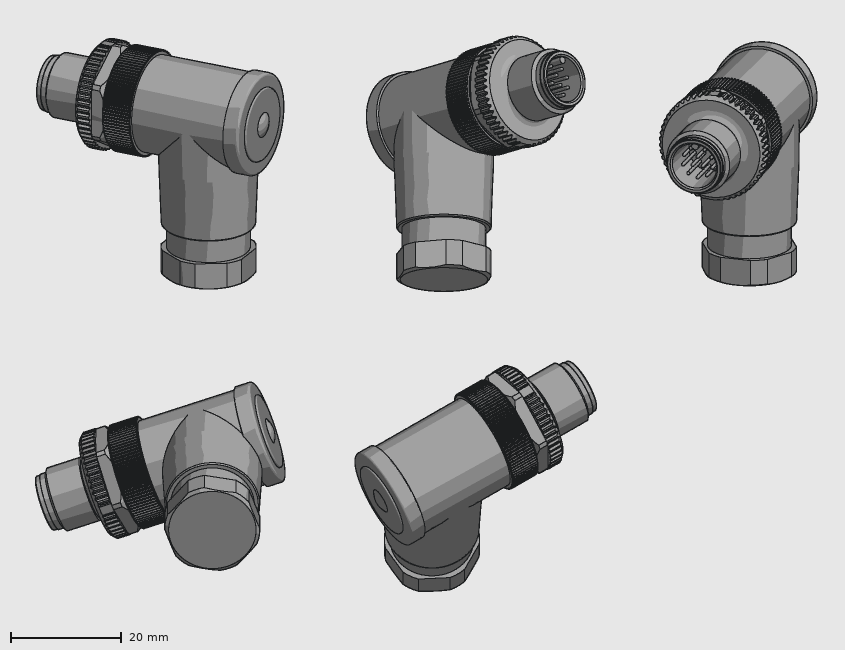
import cadquery as cq
import math


tip_radius = 10.3 / 2
tip_end = 0.95
tip_chamfer = 0.15
collar_radius = 10.6 / 2
collar_end = 2.0
thread_radius = 12 / 2
thread_start = 2.45
thread_end = 8.75
relief_radius = 5.6

socket_rim_radius = 4.5
socket_mouth_radius = 4.2
socket_chamfer_depth = 0.3
socket_floor_radius = 3.9
socket_floor = 9.0
pin_radius = 0.6 / 2
pin_tip = 2.0
pin_tip_round = 0.2
pin_embed = 0.5
outer_circle_radius = 2.85
outer_pin_count = 9
outer_pin_pitch = 38.2
inner_circle_radius = 1.12
inner_pin_count = 3
key_radius = 0.65
key_centre_height = 3.65
key_start = 0.6

root_share = 0.2
mouth_share = 0.72

ring_face = 10.0
ring_face_radius = 9.27
ring_fillet = 2.0
ring_recess_radius = 7.4
ring_knurl_end = 13.05
ring_tooth_count = 52
ring_crest_radius = 10.09
ring_groove_depth = 0.42
ring_fade_angle = 20.0
hex_corner_radius = 10.0
hex_across_flats = 17.77
hex_chamfer_start = 14.7
hex_end = 15.4
hex_end_radius = 9.35
hex_pad_radius = 18 / 2
hex_pad_height = 4.0

grip_start = 15.6
grip_end = 21.0
grip_rim_end = 21.2
grip_tooth_count = 100
grip_crest_radius = 9.85
grip_root_radius = 9.6

housing_radius = 18 / 2
neck_radius = 9.2
cap_start = 39.85
cap_end = 42.9
cap_radius = 19 / 2
cap_fillet = 0.5
disc_radius = 6.9
disc_end = 43.3
disc_fillet = 0.25
dome_radius = 2.3
overall_length = 44.0

outlet_x = 32.22
outlet_radius = housing_radius
taper_top = -9.6
taper_bottom = -21.15
taper_bottom_radius = 8.56
taper_chamfer = 0.25
waist_radius = 15.2 / 2
nut_top = -25.9
waist_embed = 1.0
nut_bottom = -31.0
nut_corner_radius = 8.6
nut_across_flats = 16.2
nut_chamfer_height = 0.4
nut_chamfer_width = 0.7

hex_inradius_ratio = math.cos(math.radians(30))


def polar(radius, degrees):
    """Point at the given radius and angle, as a pair."""
    angle = math.radians(degrees)
    return radius * math.cos(angle), radius * math.sin(angle)


def turned(outline):
    """Revolve a closed (x, radius) sketch about the plug axis."""
    return outline.close().revolve(360, (0, 0, 0), (1, 0, 0))


def rod(start, end, radius):
    """Cylinder along the plug axis."""
    return cq.Workplane("YZ", origin=(start, 0, 0)).circle(radius).extrude(end - start)


def knurled_bar(start, end, count, crest_radius, groove_depth):
    """Toothed bar along X; groove_depth(angle) is the depth of the groove at that angle."""
    pitch = 360 / count
    half_root = root_share * pitch / 2
    half_mouth = mouth_share * pitch / 2
    points = []
    for index in range(count):
        angle = index * pitch
        root_radius = crest_radius - groove_depth(angle)
        points.append(polar(crest_radius, angle - half_mouth))
        points.append(polar(root_radius, angle - half_root))
        points.append(polar(root_radius, angle + half_root))
        points.append(polar(crest_radius, angle + half_mouth))
    return cq.Workplane("YZ", origin=(start, 0, 0)).polyline(points).close().extrude(end - start)


def make_sleeve():
    """Stepped mating sleeve with the blend into the coupling ring."""
    fillet_centre_x = ring_face - ring_fillet
    fillet_rise = ring_recess_radius - relief_radius
    fillet_start = fillet_centre_x + math.sqrt(ring_fillet**2 - fillet_rise**2)
    arc_middle_angle = 0.5 * math.asin(fillet_rise / ring_fillet)
    arc_middle = (
        fillet_centre_x + ring_fillet * math.cos(arc_middle_angle),
        ring_recess_radius - ring_fillet * math.sin(arc_middle_angle),
    )
    return turned(
        cq.Workplane("XY")
        .moveTo(0, 0)
        .lineTo(0, tip_radius - tip_chamfer)
        .lineTo(tip_chamfer, tip_radius)
        .lineTo(tip_end, tip_radius)
        .lineTo(tip_end, collar_radius)
        .lineTo(collar_end, collar_radius)
        .lineTo(thread_start, thread_radius)
        .lineTo(thread_end, thread_radius)
        .lineTo(fillet_start, relief_radius)
        .threePointArc(arc_middle, (ring_face, ring_recess_radius))
        .lineTo(ring_knurl_end, ring_recess_radius)
        .lineTo(ring_knurl_end, 0)
    )


def make_coupling_knurl():
    """Front knurl; its grooves fade out towards smooth strips at +Z and -Z."""

    def groove_depth(angle):
        from_strip = abs(math.cos(math.radians(angle)))
        full_from = math.sin(math.radians(ring_fade_angle))
        return ring_groove_depth * min(1, from_strip / full_from)

    bar = knurled_bar(ring_face, ring_knurl_end, ring_tooth_count, ring_crest_radius, groove_depth)
    bevel_end = ring_face + ring_crest_radius - ring_face_radius
    envelope = turned(
        cq.Workplane("XY")
        .moveTo(ring_face, 0)
        .lineTo(ring_face, ring_face_radius)
        .lineTo(bevel_end, ring_crest_radius)
        .lineTo(ring_knurl_end, ring_crest_radius)
        .lineTo(ring_knurl_end, 0)
    )
    height_limit = cq.Workplane("XY").box(
        2 * ring_knurl_end, 3 * ring_crest_radius, 2 * hex_corner_radius
    )
    return bar.intersect(envelope).intersect(height_limit)


def make_coupling_hex():
    """Wrench hexagon with rounded corners at +Z and -Z and a round pad on the +-Y flats."""
    length = hex_end - ring_knurl_end
    across_corners = hex_across_flats / hex_inradius_ratio
    hexagon = (
        cq.Workplane("YZ", origin=(ring_knurl_end, 0, 0))
        .transformed(rotate=(0, 0, 90))
        .polygon(6, across_corners)
        .extrude(length)
    )
    envelope = turned(
        cq.Workplane("XY")
        .moveTo(ring_knurl_end, 0)
        .lineTo(ring_knurl_end, hex_corner_radius)
        .lineTo(hex_chamfer_start, hex_corner_radius)
        .lineTo(hex_end, hex_end_radius)
        .lineTo(hex_end, 0)
    )
    pad_band = cq.Workplane("XY").box(2 * hex_end, 2 * cap_radius, hex_pad_height)
    pads = rod(ring_knurl_end, hex_end, hex_pad_radius).intersect(pad_band)
    return hexagon.intersect(envelope).union(pads)


def make_grip():
    """Finely knurled rear nut with a plain rim at its back edge."""
    depth = grip_crest_radius - grip_root_radius
    bar = knurled_bar(grip_start, grip_end, grip_tooth_count, grip_crest_radius, lambda angle: depth)
    envelope = turned(
        cq.Workplane("XY")
        .moveTo(grip_start, 0)
        .lineTo(grip_start, grip_root_radius)
        .lineTo(grip_start + depth, grip_crest_radius)
        .lineTo(grip_end, grip_crest_radius)
        .lineTo(grip_end, 0)
    )
    rim = rod(grip_end, grip_rim_end, grip_root_radius)
    return bar.intersect(envelope).union(rim)


def make_housing():
    """Neck under the rings, cylindrical housing, end cap, disc and dome."""
    arc_share = 1 - math.sqrt(0.5)
    cap_offset = cap_fillet * arc_share
    disc_offset = disc_fillet * arc_share
    dome_height = overall_length - disc_end
    dome_sphere = (dome_radius**2 + dome_height**2) / (2 * dome_height)
    half_angle = 0.5 * math.asin(dome_radius / dome_sphere)
    dome_middle = (
        overall_length - dome_sphere * (1 - math.cos(half_angle)),
        dome_sphere * math.sin(half_angle),
    )
    return turned(
        cq.Workplane("XY")
        .moveTo(ring_knurl_end, 0)
        .lineTo(hex_end, 0)
        .lineTo(hex_end, neck_radius)
        .lineTo(grip_start, neck_radius)
        .lineTo(grip_start, housing_radius)
        .lineTo(cap_start, housing_radius)
        .lineTo(cap_start, cap_radius)
        .lineTo(cap_end - cap_fillet, cap_radius)
        .threePointArc(
            (cap_end - cap_offset, cap_radius - cap_offset),
            (cap_end, cap_radius - cap_fillet),
        )
        .lineTo(cap_end, disc_radius)
        .lineTo(disc_end - disc_fillet, disc_radius)
        .threePointArc(
            (disc_end - disc_offset, disc_radius - disc_offset),
            (disc_end, disc_radius - disc_fillet),
        )
        .lineTo(disc_end, dome_radius)
        .threePointArc(dome_middle, (overall_length, 0))
    )


def make_outlet():
    """Round branch, tapered skirt and waist of the cable outlet."""
    outline = (
        cq.Workplane("XZ")
        .moveTo(0, 0)
        .lineTo(outlet_radius, 0)
        .lineTo(outlet_radius, taper_top)
        .lineTo(taper_bottom_radius, taper_bottom)
        .lineTo(taper_bottom_radius - taper_chamfer, taper_bottom - taper_chamfer)
        .lineTo(waist_radius, taper_bottom - taper_chamfer)
        .lineTo(waist_radius, nut_top - waist_embed)
        .lineTo(0, nut_top - waist_embed)
        .close()
    )
    return outline.revolve(360, (0, 0, 0), (0, 1, 0)).translate((outlet_x, 0, 0))


def make_cable_nut():
    """Hexagonal clamping nut with rounded corners and a chamfered lower edge."""
    height = nut_top - nut_bottom
    across_corners = nut_across_flats / hex_inradius_ratio
    hexagon = (
        cq.Workplane("XY", origin=(0, 0, nut_bottom))
        .transformed(rotate=(0, 0, 90))
        .polygon(6, across_corners)
        .extrude(height)
    )
    envelope = (
        cq.Workplane("XZ")
        .moveTo(0, nut_top)
        .lineTo(nut_corner_radius, nut_top)
        .lineTo(nut_corner_radius, nut_bottom + nut_chamfer_height)
        .lineTo(nut_corner_radius - nut_chamfer_width, nut_bottom)
        .lineTo(0, nut_bottom)
        .close()
        .revolve(360, (0, 0, 0), (0, 1, 0))
    )
    return hexagon.intersect(envelope).translate((outlet_x, 0, 0))


def make_socket():
    """Slightly tapered contact cavity with a chamfered mouth."""
    return turned(
        cq.Workplane("XY")
        .moveTo(0, 0)
        .lineTo(0, socket_rim_radius)
        .lineTo(socket_chamfer_depth, socket_mouth_radius)
        .lineTo(socket_floor, socket_floor_radius)
        .lineTo(socket_floor, 0)
    )


def pin_places():
    """(y, z) positions of the outer circle of pins, open at the key, and the inner three."""
    outer_start = -90 - outer_pin_pitch * (outer_pin_count // 2)
    outer = [
        polar(outer_circle_radius, outer_start + index * outer_pin_pitch)
        for index in range(outer_pin_count)
    ]
    inner = [
        polar(inner_circle_radius, 90 + index * 360 / inner_pin_count)
        for index in range(inner_pin_count)
    ]
    return outer + inner


def make_pins():
    """Round-nosed contact pins rooted in the socket floor."""
    return (
        cq.Workplane("YZ", origin=(pin_tip, 0, 0))
        .pushPoints(pin_places())
        .circle(pin_radius)
        .extrude(socket_floor + pin_embed - pin_tip)
        .faces("<X")
        .edges()
        .fillet(pin_tip_round)
    )


def make_key():
    """Coding rib along the top of the socket wall."""
    rib = rod(key_start, socket_floor + pin_embed, key_radius)
    return rib.translate((0, 0, key_centre_height))


result = make_sleeve().union(make_coupling_knurl())
result = result.union(make_coupling_hex())
result = result.union(make_housing())
result = result.union(make_grip())
result = result.union(make_outlet())
result = result.union(make_cable_nut())
result = result.cut(make_socket())
result = result.union(make_pins())
result = result.union(make_key())